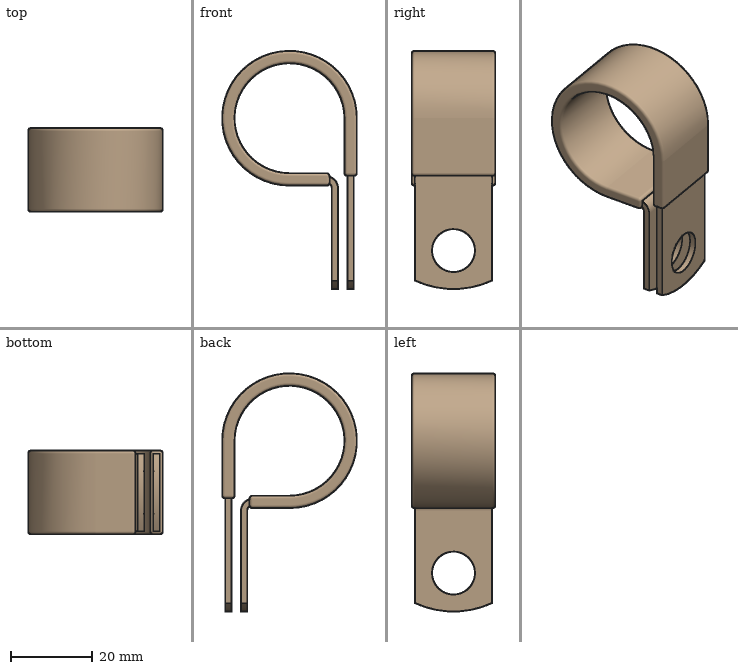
import cadquery as cq
import math

outer_radius = 16.6
band_thickness = 3.1
band_width = 20.65
edge_round = 0.75
side_leg_length = 14.2
bottom_leg_length = 9.85

strap_thickness = 1.6
strap_width = 19.0
overall_height = 58.65
bend_inner_radius = 1.4
bent_tab_outer_x = 11.95

hole_diameter = 10.5
hole_z = -32.55
tip_rise = 2.1

inner_radius = outer_radius - band_thickness
middle_radius = (outer_radius + inner_radius) / 2
strap_outer_radius = middle_radius + strap_thickness / 2
strap_inner_radius = middle_radius - strap_thickness / 2
tab_bottom = outer_radius - overall_height
bend_outer_radius = bend_inner_radius + strap_thickness
bend_center_x = bent_tab_outer_x - bend_outer_radius
bend_center_z = -strap_inner_radius - bend_outer_radius


def make_cushion():
    """Loop with two straight legs, rounded along all its outer edges."""
    diagonal = math.sqrt(0.5)
    band = (
        cq.Workplane("XZ")
        .moveTo(outer_radius, -side_leg_length)
        .lineTo(outer_radius, 0)
        .threePointArc((-outer_radius * diagonal, outer_radius * diagonal), (0, -outer_radius))
        .lineTo(bottom_leg_length, -outer_radius)
        .lineTo(bottom_leg_length, -inner_radius)
        .lineTo(0, -inner_radius)
        .threePointArc((-inner_radius * diagonal, inner_radius * diagonal), (inner_radius, 0))
        .lineTo(inner_radius, -side_leg_length)
        .close()
        .extrude(band_width / 2, both=True)
    )
    leg_corners = (
        (outer_radius, 0, -side_leg_length),
        (inner_radius, 0, -side_leg_length),
        (bottom_leg_length, 0, -outer_radius),
        (bottom_leg_length, 0, -inner_radius),
    )
    rounded_edges = band.faces("<Y or >Y").edges()
    for corner in leg_corners:
        corner_edge = band.edges(cq.selectors.NearestToPointSelector(corner))
        rounded_edges = rounded_edges.add(corner_edge)
    return rounded_edges.fillet(edge_round)


def make_straight_tab():
    """Flat tab continuing the strap down out of the side leg."""
    return (
        cq.Workplane("XZ")
        .moveTo(strap_inner_radius, -side_leg_length / 2)
        .lineTo(strap_outer_radius, -side_leg_length / 2)
        .lineTo(strap_outer_radius, tab_bottom)
        .lineTo(strap_inner_radius, tab_bottom)
        .close()
        .extrude(strap_width / 2, both=True)
    )


def make_bent_tab():
    """Tab leaving the bottom leg and turning down through a right angle."""
    return (
        cq.Workplane("XZ")
        .moveTo(0, -strap_inner_radius)
        .lineTo(bend_center_x, -strap_inner_radius)
        .radiusArc((bent_tab_outer_x, bend_center_z), bend_outer_radius)
        .lineTo(bent_tab_outer_x, tab_bottom)
        .lineTo(bent_tab_outer_x - strap_thickness, tab_bottom)
        .lineTo(bent_tab_outer_x - strap_thickness, bend_center_z)
        .radiusArc((bend_center_x, -strap_outer_radius), -bend_inner_radius)
        .lineTo(0, -strap_outer_radius)
        .close()
        .extrude(strap_width / 2, both=True)
    )


def make_tab_outline():
    """Shape of the tabs across X: straight sides, curved tip and bolt hole."""
    half_width = strap_width / 2
    outline = (
        cq.Workplane("YZ")
        .moveTo(-half_width, 0)
        .lineTo(-half_width, tab_bottom + tip_rise)
        .threePointArc((0, tab_bottom), (half_width, tab_bottom + tip_rise))
        .lineTo(half_width, 0)
        .close()
        .extrude(outer_radius)
    )
    hole = (
        cq.Workplane("YZ")
        .center(0, hole_z)
        .circle(hole_diameter / 2)
        .extrude(outer_radius)
    )
    return outline.cut(hole)


tabs = make_straight_tab().union(make_bent_tab()).intersect(make_tab_outline())
result = make_cushion().union(tabs)